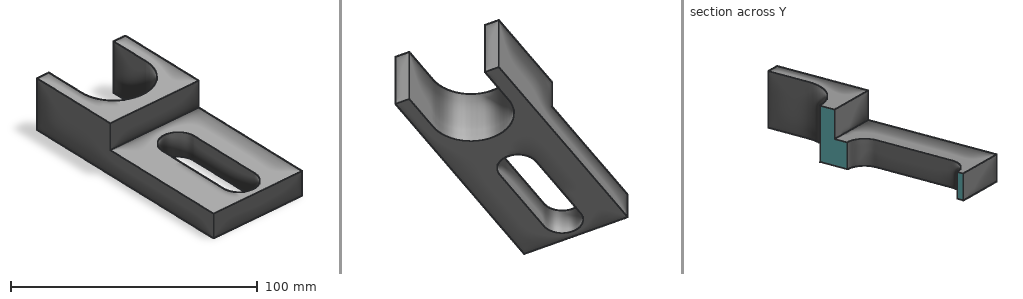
import cadquery as cq

length = 108.0
width = 48.0
height = 25.0

fork_length = 44.8
plate_thickness = 12.0

opening_width = 35.0
opening_depth = 37.5

slot_length = 54.0
slot_width = 17.0
slot_end_margin = 3.0


def stepped_body():
    """L-shaped side profile extruded symmetrically across the width."""
    return (
        cq.Workplane("XZ")
        .moveTo(0, 0)
        .lineTo(length, 0)
        .lineTo(length, plate_thickness)
        .lineTo(fork_length, plate_thickness)
        .lineTo(fork_length, height)
        .lineTo(0, height)
        .close()
        .extrude(width / 2, both=True)
    )


def fork_opening():
    """Straight-sided opening ending in a half circle."""
    radius = opening_width / 2
    arc_start = opening_depth - radius
    return (
        cq.Workplane("XY")
        .moveTo(0, -radius)
        .lineTo(arc_start, -radius)
        .threePointArc((opening_depth, 0), (arc_start, radius))
        .lineTo(0, radius)
        .close()
        .extrude(height)
    )


def adjustment_slot():
    """Slot with round ends along the plate centreline."""
    center_x = length - slot_end_margin - slot_length / 2
    return (
        cq.Workplane("XY")
        .center(center_x, 0)
        .slot2D(slot_length, slot_width)
        .extrude(plate_thickness)
    )


result = stepped_body().cut(fork_opening()).cut(adjustment_slot())